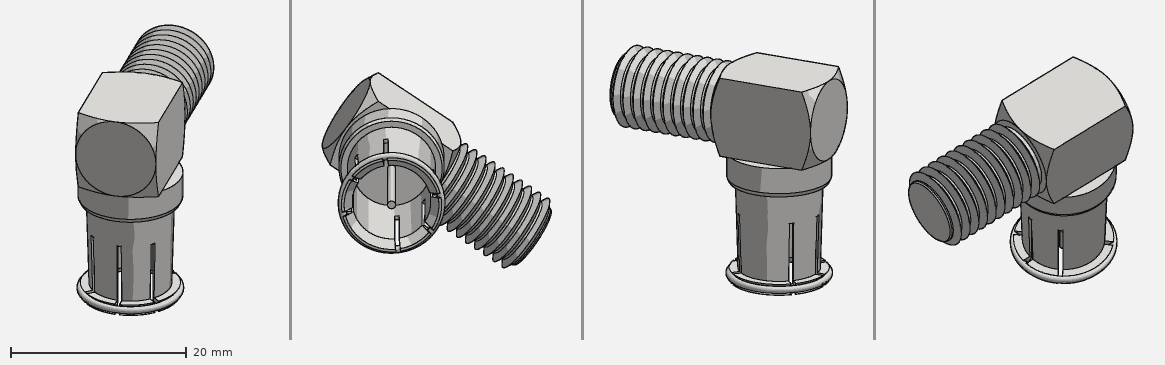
import cadquery as cq
import math

total_length = 26.0
total_height = 25.0

block_size = 9.5
block_length = 12.7
corner_chamfer_angle = 30.0

root_radius = 3.9
thread_pitch = 1.27
ridge_count = 10
ridge_half_width = 0.5
end_ridge_offset = 0.88
shank_chamfer_length = 0.2
shank_chamfer_depth = 0.1

collar_radius = 6.0
collar_height = 3.55
collar_chamfer_height = 0.5
collar_chamfer_width = 0.23

sleeve_top_radius = 5.05
sleeve_bottom_radius = 4.73
bore_radius = 4.47
bore_lead_in = 0.94
flange_radius = 5.72
flange_height = 1.33
ring_groove_depth = 0.6

ring_outer_diameter = 12.2
ring_wire_radius = 0.42

slot_width = 0.52
slot_height = 8.38
slot_spread_angle = 47.0
pin_radius = 0.47

half_block = block_size / 2
block_bottom = total_height - block_size
thread_axis_z = block_bottom + half_block
block_front = -block_length / 2
block_back = block_length / 2
shank_end = block_front + total_length
collar_bottom = block_bottom - collar_height
slot_length = 2 * flange_radius + slot_width


def revolve_about_z(profile):
    """Revolve an (r, z) outline about the plug axis."""
    return cq.Workplane("XZ").polyline(profile).close().revolve(360, (0, 0, 0), (0, 1, 0))


def revolve_about_thread_axis(profile):
    """Revolve an (r, y) outline about the thread axis."""
    plane = cq.Workplane("XY", origin=(0, 0, thread_axis_z))
    return plane.polyline(profile).close().revolve(360, (0, 0, 0), (0, 1, 0))


def make_block():
    """Square bar trimmed at both ends by cones that touch the flats."""
    bar = cq.Workplane("XY").box(block_size, block_length, block_size)
    bar = bar.translate((0, 0, thread_axis_z))
    outer_radius = block_size
    cone_depth = (outer_radius - half_block) * math.tan(math.radians(corner_chamfer_angle))
    envelope = revolve_about_thread_axis([
        (0, block_front),
        (half_block, block_front),
        (outer_radius, block_front + cone_depth),
        (outer_radius, block_back - cone_depth),
        (half_block, block_back),
        (0, block_back),
    ])
    return bar.intersect(envelope)


def make_shank():
    """Round shank with evenly spaced V ridges as tall as the block flats."""
    profile = [(0, block_back), (root_radius, block_back)]
    first_ridge = shank_end - end_ridge_offset - (ridge_count - 1) * thread_pitch
    for index in range(ridge_count):
        crest = first_ridge + index * thread_pitch
        profile += [
            (root_radius, crest - ridge_half_width),
            (half_block, crest),
            (root_radius, crest + ridge_half_width),
        ]
    profile += [
        (root_radius, shank_end - shank_chamfer_length),
        (root_radius - shank_chamfer_depth, shank_end),
        (0, shank_end),
    ]
    return revolve_about_thread_axis(profile)


def make_collar():
    """Round collar with a chamfered lower edge."""
    return revolve_about_z([
        (0, collar_bottom),
        (collar_radius - collar_chamfer_width, collar_bottom),
        (collar_radius, collar_bottom + collar_chamfer_height),
        (collar_radius, block_bottom),
        (0, block_bottom),
    ])


def make_sleeve():
    """Hollow tapered sleeve and grooved flange, split into six spring fingers.

    The bore opens out at its lower end through a 45 degree lead-in.
    """
    sleeve = revolve_about_z([
        (bore_radius, bore_lead_in),
        (bore_radius + bore_lead_in, 0),
        (flange_radius, 0),
        (flange_radius - ring_groove_depth, flange_height / 2),
        (flange_radius, flange_height),
        (sleeve_bottom_radius, flange_height),
        (sleeve_top_radius, collar_bottom),
        (bore_radius, collar_bottom),
    ])
    slot = cq.Workplane("XY").box(
        slot_width, slot_length, slot_height, centered=(True, True, False)
    )
    for angle in (-slot_spread_angle, 0, slot_spread_angle):
        sleeve = sleeve.cut(slot.rotate((0, 0, 0), (0, 0, 1), angle))
    return sleeve


def make_ring():
    """Round-wire ring that stays whole across the slots."""
    ring_centre_radius = ring_outer_diameter / 2 - ring_wire_radius
    ring = cq.Solid.makeTorus(ring_centre_radius, ring_wire_radius)
    return cq.Workplane(obj=ring.translate(cq.Vector(0, 0, flange_height / 2)))


def make_pin():
    """Centre pin, flush with the open end of the sleeve."""
    return cq.Workplane("XY").circle(pin_radius).extrude(collar_bottom)


result = (
    make_block()
    .union(make_shank())
    .union(make_collar())
    .union(make_sleeve())
    .union(make_ring())
    .union(make_pin())
)